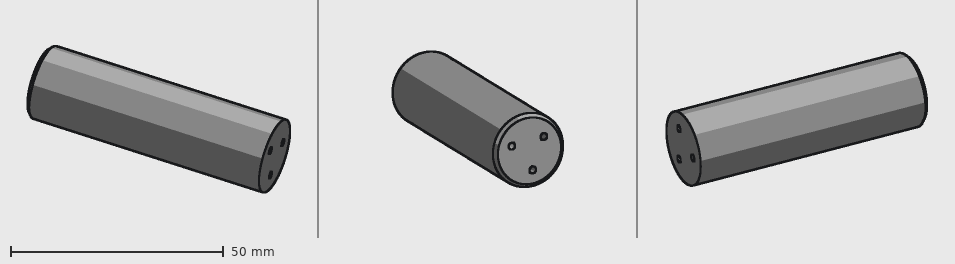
import cadquery as cq
import math

length = 60.0
diameter = 18.0
chamfer = 0.9

hole_count = 3
hole_diameter = 1.7
hole_circle_radius = 4.8
first_hole_angle = 20.0
surface_helix_angle = 30.0

helix_lead = math.pi * diameter / math.tan(math.radians(surface_helix_angle))
twist_angle = 360 * length / helix_lead

body = cq.Workplane("YZ").circle(diameter / 2).extrude(length)
body = body.faces("<X").chamfer(chamfer)


def helical_hole(start_angle):
    """Right-handed twisted channel whose YZ cross-section stays circular."""
    center_y = hole_circle_radius * math.cos(math.radians(start_angle))
    center_z = hole_circle_radius * math.sin(math.radians(start_angle))
    return (
        cq.Workplane("YZ")
        .pushPoints([(center_y, center_z)])
        .circle(hole_diameter / 2)
        .twistExtrude(length, twist_angle)
    )


result = body
for index in range(hole_count):
    result = result.cut(helical_hole(first_hole_angle + index * 360 / hole_count))